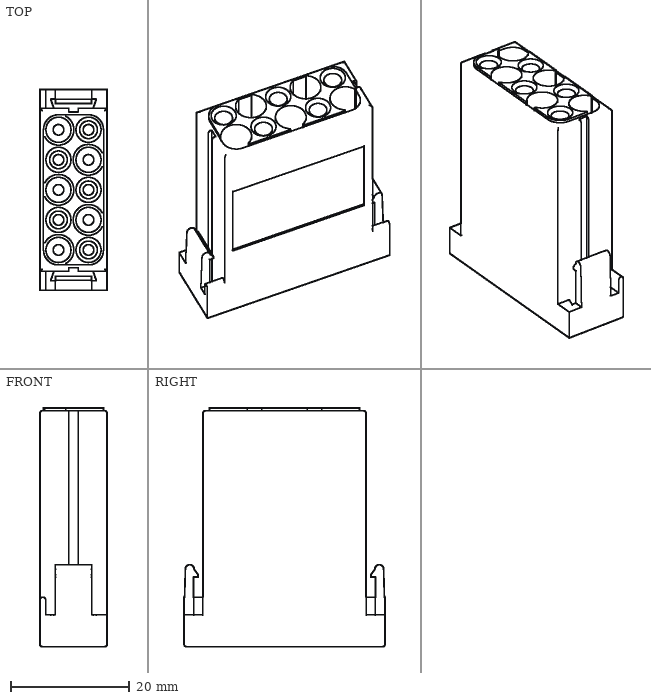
import cadquery as cq

BLOCK_WIDTH = 11.4
BLOCK_LENGTH = 27.6
BLOCK_HEIGHT = 39.95
BLOCK_TOP_RADIUS = 0.5
BOTTOM_RADIUS = 0.45

BASE_LENGTH = 34.0
EAR_HEIGHT = 5.4
LIP_WIDTH = 1.0
LIP_HEIGHT = 8.4

PITCH = 5.08
COLUMNS = 2
ROWS = 5
INSERT_WIDTH = COLUMNS * PITCH
INSERT_LENGTH = ROWS * PITCH
INSERT_CORNER_RADIUS = PITCH / 2
TOTAL_HEIGHT = 40.4

WIDE_HOLE_DIAMETER = 5.2
WIDE_HOLE_DEPTH = 8.0
SIDE_OPENING_WIDTH = 2.4

NARROW_HOLE_DIAMETER = 3.0
COUNTERSINK_DEPTH = 0.6
NARROW_HOLE_DEPTH = 8.0

FUNNEL_DIAMETER = 4.25
FUNNEL_SLOPE = 1.0
CONTACT_DIAMETER = 1.8

GROOVE_WIDTH = 1.6
GROOVE_DEPTH = 0.6

WINDOW_INNER_WIDTH = 6.6
WINDOW_OUTER_WIDTH = 7.7
WINDOW_OUTER_Y = 15.35

LATCH_WIDTH = 6.15
LATCH_HEIGHT = 13.9
LATCH_FOOT_Y = 17.0
LATCH_TIP_Y = 16.78
LATCH_TIP_RADIUS = 0.75
HOOK_Y = 14.6
HOOK_BOTTOM_Z = 11.8
HOOK_EDGE_HEIGHT = 0.4

PANEL_LENGTH = 24.5
PANEL_HEIGHT = 15.1
PANEL_BOTTOM_Z = 15.3
PANEL_DEPTH = 0.3


def upright_box(width, length, height, bottom=0.0):
    """Box centred on the Z axis, standing on the given height."""
    box = cq.Workplane("XY").box(width, length, height, centered=(True, True, False))
    return box.translate((0, 0, bottom))


def both_ends(shape):
    """The +Y shape together with its mirror image at the -Y end."""
    return shape.union(shape.mirror("XZ"))


def make_block():
    block = upright_box(BLOCK_WIDTH, BLOCK_LENGTH, BLOCK_HEIGHT)
    block = block.faces(">Z").edges().fillet(BLOCK_TOP_RADIUS)
    return block.faces("<Z").edges("|Y").fillet(BOTTOM_RADIUS)


def make_base():
    base = upright_box(BLOCK_WIDTH, BASE_LENGTH, EAR_HEIGHT)
    outer_x = -BLOCK_WIDTH / 2
    round_z = LIP_HEIGHT - LIP_WIDTH / 2
    lip = (
        cq.Workplane("XZ")
        .moveTo(outer_x, 0)
        .lineTo(outer_x, round_z)
        .threePointArc((outer_x + LIP_WIDTH / 2, LIP_HEIGHT), (outer_x + LIP_WIDTH, round_z))
        .lineTo(outer_x + LIP_WIDTH, 0)
        .close()
        .extrude(BASE_LENGTH / 2, both=True)
    )
    base = base.union(lip)
    return base.faces("<Z").edges().fillet(BOTTOM_RADIUS)


def make_window():
    inner_y = BLOCK_LENGTH / 2
    return (
        cq.Workplane("XY")
        .moveTo(-WINDOW_INNER_WIDTH / 2, inner_y)
        .lineTo(WINDOW_INNER_WIDTH / 2, inner_y)
        .lineTo(WINDOW_OUTER_WIDTH / 2, WINDOW_OUTER_Y)
        .lineTo(-WINDOW_OUTER_WIDTH / 2, WINDOW_OUTER_Y)
        .close()
        .extrude(EAR_HEIGHT)
    )


def make_groove():
    groove = upright_box(GROOVE_WIDTH, GROOVE_DEPTH, BLOCK_HEIGHT)
    return groove.translate((0, (BLOCK_LENGTH - GROOVE_DEPTH) / 2, 0))


def make_latch():
    tip_z = LATCH_HEIGHT - LATCH_TIP_RADIUS
    return (
        cq.Workplane("YZ")
        .moveTo(LATCH_FOOT_Y, EAR_HEIGHT)
        .lineTo(LATCH_TIP_Y, tip_z)
        .threePointArc(
            (LATCH_TIP_Y - LATCH_TIP_RADIUS, LATCH_HEIGHT),
            (LATCH_TIP_Y - 2 * LATCH_TIP_RADIUS, tip_z),
        )
        .lineTo(HOOK_Y, HOOK_BOTTOM_Z + HOOK_EDGE_HEIGHT)
        .lineTo(HOOK_Y, HOOK_BOTTOM_Z)
        .lineTo(WINDOW_OUTER_Y, HOOK_BOTTOM_Z)
        .lineTo(WINDOW_OUTER_Y, EAR_HEIGHT)
        .close()
        .extrude(LATCH_WIDTH / 2, both=True)
    )


def make_insert(bottom):
    """Rounded contact insert from the given height to the top of the part."""
    insert = upright_box(INSERT_WIDTH, INSERT_LENGTH, TOTAL_HEIGHT - bottom, bottom)
    return insert.edges("|Z").fillet(INSERT_CORNER_RADIUS)


def turned(profile):
    """Solid of revolution about Z from (radius, height) points off the axis."""
    top = profile[0][1]
    bottom = profile[-1][1]
    outline = [(0, top)] + profile + [(0, bottom)]
    return cq.Workplane("XZ").polyline(outline).close().revolve(360, (0, 0), (0, 1))


def funnel_depth(mouth_diameter):
    return (mouth_diameter - CONTACT_DIAMETER) / 2 * FUNNEL_SLOPE


def make_narrow_hole(x, y):
    hole_radius = NARROW_HOLE_DIAMETER / 2
    floor_z = TOTAL_HEIGHT - NARROW_HOLE_DEPTH
    hole = turned([
        (FUNNEL_DIAMETER / 2, TOTAL_HEIGHT),
        (hole_radius, TOTAL_HEIGHT - COUNTERSINK_DEPTH),
        (hole_radius, floor_z),
        (CONTACT_DIAMETER / 2, floor_z - funnel_depth(NARROW_HOLE_DIAMETER)),
    ])
    return hole.translate((x, y, 0))


def make_wide_hole(x, y, outward_y):
    """Wide hole opening through the insert sides; outward_y is 0 away from the end rows."""
    floor_z = TOTAL_HEIGHT - WIDE_HOLE_DEPTH
    radius = WIDE_HOLE_DIAMETER / 2
    bore = cq.Workplane("XY", origin=(x, y, floor_z)).circle(radius).extrude(WIDE_HOLE_DEPTH)
    side_opening = upright_box(PITCH, SIDE_OPENING_WIDTH, WIDE_HOLE_DEPTH, floor_z)
    outward_x = 1 if x > 0 else -1
    bore = bore.union(side_opening.translate((x + outward_x * PITCH / 2, y, 0)))
    if outward_y:
        end_opening = upright_box(SIDE_OPENING_WIDTH, PITCH, WIDE_HOLE_DEPTH, floor_z)
        bore = bore.union(end_opening.translate((x, y + outward_y * PITCH / 2, 0)))
    bore = bore.intersect(make_insert(floor_z))
    funnel = turned([
        (FUNNEL_DIAMETER / 2, floor_z),
        (CONTACT_DIAMETER / 2, floor_z - funnel_depth(FUNNEL_DIAMETER)),
    ])
    return bore.union(funnel.translate((x, y, 0)))


def cut_contact_holes(body):
    """Wide and narrow holes alternate like a chequerboard."""
    for column in range(COLUMNS):
        for row in range(ROWS):
            x = (column - (COLUMNS - 1) / 2) * PITCH
            y = (row - (ROWS - 1) / 2) * PITCH
            if (column + row) % 2 == 0:
                outward_y = {0: -1, ROWS - 1: 1}.get(row, 0)
                body = body.cut(make_wide_hole(x, y, outward_y))
            else:
                body = body.cut(make_narrow_hole(x, y))
    return body


def make_panel():
    panel = upright_box(PANEL_DEPTH, PANEL_LENGTH, PANEL_HEIGHT, PANEL_BOTTOM_Z)
    return panel.translate(((PANEL_DEPTH - BLOCK_WIDTH) / 2, 0, 0))


base = make_base().cut(both_ends(make_window()))
body = make_block().union(base).union(both_ends(make_latch()))
body = body.cut(both_ends(make_groove()))
body = body.cut(make_panel())
body = body.union(make_insert(BLOCK_HEIGHT))
result = cut_contact_holes(body)